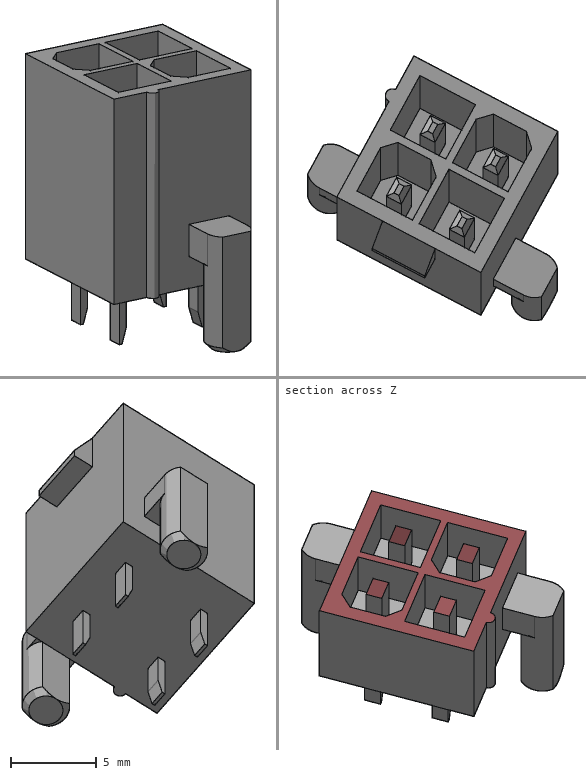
import cadquery as cq


housing_width = 9.6
housing_depth = 9.6
housing_height = 12.8

contact_pitch = 4.2
contact_width = 1.0

cavity_pitch = 4.15
cavity_size = 3.7
cavity_corner_chamfer = 0.75
floor_thickness = 3.0

latch_width = 3.5
latch_reach = 1.3
latch_ramp_drop = 2.5
latch_height = 3.1

rib_radius = 0.4
rib_y = -contact_pitch / 2

peg_diameter = 2.8
peg_thickness = 2.0
peg_x = 6.8
peg_y = 1.85
peg_length = 3.3
peg_tip_chamfer = 0.4
arm_top = 4.0
arm_height = 2.0

blade_depth = 1.3
blade_height = 6.5
blade_tip_chamfer = contact_width / 3

tail_thickness = 0.5
tail_row_pitch = 5.5
tail_length = 3.5
tail_taper_height = 1.0
tail_tip_thickness = 0.2

SIDES = (-1, 1)


def make_cavity(side_x, side_y):
    """Square cavity; on one diagonal of the grid its two front corners are cut off as a key."""
    cavity = (
        cq.Workplane("XY")
        .workplane(offset=floor_thickness)
        .center(side_x * cavity_pitch / 2, side_y * cavity_pitch / 2)
        .rect(cavity_size, cavity_size)
        .extrude(housing_height - floor_thickness)
    )
    if side_x == side_y:
        cavity = cavity.faces("<Y").edges("|Z").chamfer(cavity_corner_chamfer)
    return cavity


def make_latch():
    """Wedge that ramps out from the top edge of the back wall to a flat catch."""
    wall_y = housing_depth / 2
    return (
        cq.Workplane("YZ")
        .moveTo(wall_y, housing_height)
        .lineTo(wall_y + latch_reach, housing_height - latch_ramp_drop)
        .lineTo(wall_y + latch_reach, housing_height - latch_height)
        .lineTo(wall_y, housing_height - latch_height)
        .close()
        .extrude(latch_width / 2, both=True)
    )


def make_rib():
    """Full-height round rib, half sunk in the +X wall."""
    return (
        cq.Workplane("XY")
        .center(housing_width / 2, rib_y)
        .circle(rib_radius)
        .extrude(housing_height)
    )


def make_peg(side):
    """Round peg with flats on its inner and outer sides, and the arm that joins it to the wall."""
    post = (
        cq.Workplane("XY")
        .workplane(offset=-peg_length)
        .center(side * peg_x, peg_y)
        .circle(peg_diameter / 2)
        .extrude(peg_length + arm_top)
        .faces("<Z")
        .chamfer(peg_tip_chamfer)
    )
    flats = (
        cq.Workplane("XY")
        .workplane(offset=-peg_length)
        .center(side * peg_x, peg_y)
        .rect(peg_thickness, peg_diameter)
        .extrude(peg_length + arm_top)
    )
    arm_length = peg_x - housing_width / 2
    arm = (
        cq.Workplane("XY")
        .workplane(offset=arm_top - arm_height)
        .center(side * (peg_x - arm_length / 2), peg_y)
        .rect(arm_length, peg_diameter)
        .extrude(arm_height)
    )
    return post.intersect(flats).union(arm)


def make_housing():
    """Box with four cavities, plus the latch, rib and board pegs moulded onto it."""
    body = cq.Workplane("XY").rect(housing_width, housing_depth).extrude(housing_height)
    body = body.union(make_latch()).union(make_rib())
    for side_x in SIDES:
        body = body.union(make_peg(side_x))
        for side_y in SIDES:
            body = body.cut(make_cavity(side_x, side_y))
    return body


def make_blade(side_x, side_y):
    """Rectangular contact blade that stands on the cavity floor, its tip chamfered all round."""
    return (
        cq.Workplane("XY")
        .workplane(offset=floor_thickness)
        .center(side_x * contact_pitch / 2, side_y * contact_pitch / 2)
        .rect(contact_width, blade_depth)
        .extrude(blade_height)
        .faces(">Z")
        .chamfer(blade_tip_chamfer)
    )


def make_tail(side_x, side_y):
    """Flat solder tail under the housing floor, tapered at the tip on the side facing the centre."""
    inner_y = side_y * (tail_row_pitch - tail_thickness) / 2
    outer_y = side_y * (tail_row_pitch + tail_thickness) / 2
    return (
        cq.Workplane("YZ")
        .workplane(offset=side_x * contact_pitch / 2)
        .moveTo(inner_y, 0)
        .lineTo(outer_y, 0)
        .lineTo(outer_y, -tail_length)
        .lineTo(outer_y - side_y * tail_tip_thickness, -tail_length)
        .lineTo(inner_y, tail_taper_height - tail_length)
        .close()
        .extrude(contact_width / 2, both=True)
    )


housing = make_housing()
positions = [(side_x, side_y) for side_x in SIDES for side_y in SIDES]
blades = [make_blade(*position).val() for position in positions]
tails = [make_tail(*position).val() for position in positions]

result = cq.Compound.makeCompound([housing.val(), *blades, *tails])